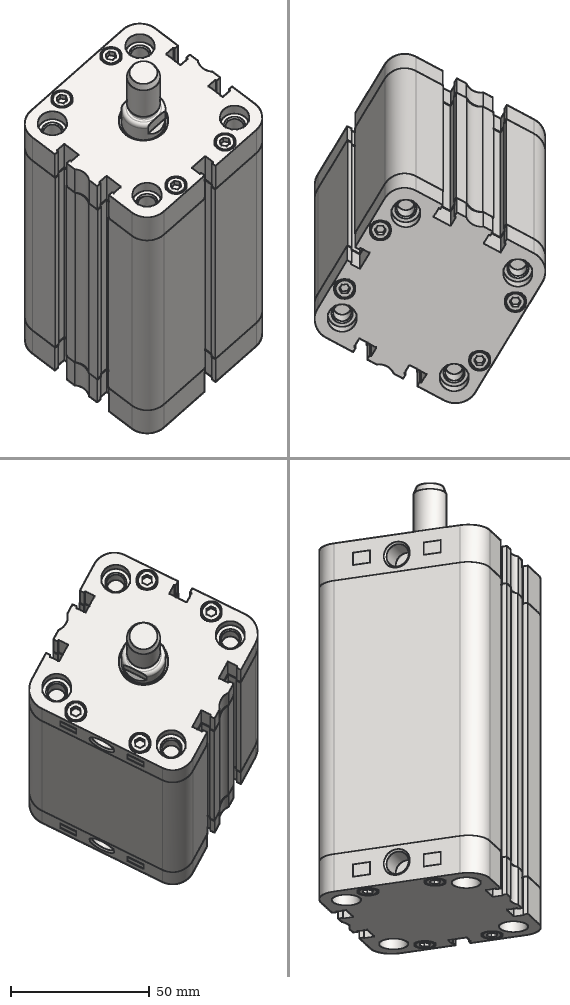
import cadquery as cq

SIDE = 65.5
HALF_SIDE = SIDE / 2
TOTAL_HEIGHT = 165.0
ROD_PROTRUSION = 29.9
BODY_HEIGHT = TOTAL_HEIGHT - ROD_PROTRUSION
CAP_HEIGHT = 14.5
BARREL_HEIGHT = BODY_HEIGHT - 2 * CAP_HEIGHT
CORNER_RADIUS = 8.2

CAP_RELIEF = 0.25

SLOT_OFFSET = 10.4
SLOT_DEPTH = 5.5
SLOT_LIP = 1.8
SLOT_NECK_WIDTH = 5.3
SLOT_INNER_WIDTH = 6.6

GROOVE_WIDTH = 6.6
GROOVE_DEPTH = 1.0

MOUNT_OFFSET = 23.3
MOUNT_BORE_DIAMETER = 10.5
MOUNT_BORE_DEPTH = 5.0
MOUNT_RIM_DIAMETER = 7.8
MOUNT_HOLE_DIAMETER = 6.6
MOUNT_HOLE_DEPTH = 12.0

SCREW_X = 28.0
SCREW_Y = 13.0
SCREW_RECESS_DIAMETER = 7.8
SCREW_HEAD_DIAMETER = 6.6
SCREW_GAP_DEPTH = 1.0
SOCKET_FLATS = 3.5
SOCKET_DEPTH = 2.5

PORT_INSET = 8.0
PORT_DIAMETER = 8.5
PORT_RIM_DIAMETER = 10.0
PORT_DEPTH = 9.9
PASSAGE_DIAMETER = 3.5
PASSAGE_DROP = 2.1
PASSAGE_DEPTH = 3.3

LABEL_OFFSET = 13.7
LABEL_INSET = 7.1
LABEL_WIDTH = 6.6
LABEL_HEIGHT = 4.8
LABEL_DEPTH = 0.2

ROD_DIAMETER = 16.0
SHOULDER_ROUND = 1.6
SHOULDER_HEIGHT = 8.1
FLATS_WIDTH = 13.0
FLATS_BOTTOM = 2.8
THREAD_DIAMETER = 12.0
NECK_DIAMETER = 10.0
NECK_HEIGHT = 2.6
NECK_FILLET = 0.3
TIP_CHAMFER_HEIGHT = 2.6

SEAL_RECESS_DIAMETER = 17.7
SEAL_RECESS_DEPTH = 1.0
SEAL_RIM_DIAMETER = 18.0


def cone(top_diameter, bottom_diameter):
    """45 degree cone that narrows downwards from the plane Z = 0, for a chamfered hole rim."""
    depth = (top_diameter - bottom_diameter) / 2
    return (
        cq.Workplane("XY")
        .circle(top_diameter / 2)
        .workplane(offset=-depth)
        .circle(bottom_diameter / 2)
        .loft()
    )


def outer_face():
    """Plane of the outer face of a cap before it is placed."""
    return cq.Workplane("XY", origin=(0, 0, CAP_HEIGHT))


def slot_cutter(height, relief):
    """T-slot open towards +Y, its mouth on the plane Y = 0, its walls set back by the relief."""
    half_neck = SLOT_NECK_WIDTH / 2 + relief
    half_inner = SLOT_INNER_WIDTH / 2 + relief
    floor = -SLOT_DEPTH - relief
    return (
        cq.Workplane("XY")
        .moveTo(-half_neck, 0)
        .lineTo(-half_neck, -SLOT_LIP)
        .lineTo(-half_inner, -SLOT_LIP)
        .lineTo(-half_inner, floor)
        .lineTo(half_inner, floor)
        .lineTo(half_inner, -SLOT_LIP)
        .lineTo(half_neck, -SLOT_LIP)
        .lineTo(half_neck, 0)
        .close()
        .extrude(height)
    )


def groove_cutter(height, relief):
    """Circular-segment groove with its mouth on the plane Y = 0, widened and deepened by the relief."""
    half_width = GROOVE_WIDTH / 2 + relief
    return (
        cq.Workplane("XY")
        .moveTo(-half_width, 0)
        .threePointArc((0, -GROOVE_DEPTH - relief), (half_width, 0))
        .close()
        .extrude(height)
    )


def turned_about_z(shape, angle):
    return shape.rotate((0, 0, 0), (0, 0, 1), angle)


def profile_block(height, relief=0.0):
    """Rounded square standing on Z = 0, with slots along +Y, -Y and +X and a groove along +Y and -Y."""
    block = cq.Workplane("XY").rect(SIDE, SIDE).extrude(height).edges("|Z").fillet(CORNER_RADIUS)
    slot = slot_cutter(height, relief).translate((0, HALF_SIDE, 0))
    groove = groove_cutter(height, relief).translate((0, HALF_SIDE, 0))
    for angle in (0, 180):
        block = block.cut(turned_about_z(groove, angle))
        for x in (-SLOT_OFFSET, SLOT_OFFSET):
            block = block.cut(turned_about_z(slot.translate((x, 0, 0)), angle))
    return block.cut(turned_about_z(slot, -90))


def drill_mounting_holes(cap):
    """Counterbored blind holes at the four corners, each chamfered where the bore steps down."""
    spacing = 2 * MOUNT_OFFSET
    centres = outer_face().rect(spacing, spacing, forConstruction=True).vertices()
    cap = cap.cut(centres.circle(MOUNT_BORE_DIAMETER / 2).extrude(-MOUNT_BORE_DEPTH))
    cap = cap.cut(centres.circle(MOUNT_HOLE_DIAMETER / 2).extrude(-MOUNT_HOLE_DEPTH))
    rim = cone(MOUNT_RIM_DIAMETER, MOUNT_HOLE_DIAMETER)
    for centre in centres.vals():
        cap = cap.cut(rim.translate(centre.Center() - cq.Vector(0, 0, MOUNT_BORE_DEPTH)))
    return cap


def cut_screw_heads(cap):
    """Ring gaps and hexagon sockets that shape the four tie screw heads."""
    centres = [(x, y) for x in (-SCREW_X, SCREW_X) for y in (-SCREW_Y, SCREW_Y)]
    face = outer_face().pushPoints(centres)
    gaps = face.circle(SCREW_RECESS_DIAMETER / 2).circle(SCREW_HEAD_DIAMETER / 2).extrude(-SCREW_GAP_DEPTH)
    socket = (
        cq.Workplane("XY")
        .polygon(6, SOCKET_FLATS, circumscribed=True)
        .extrude(SOCKET_DEPTH)
        .translate((0, 0, CAP_HEIGHT - SOCKET_DEPTH))
    )
    cap = cap.cut(gaps)
    for x, y in centres:
        cap = cap.cut(socket.translate((x, y, 0)))
    return cap


def cylinder_along_x(diameter, depth, x, z):
    return cq.Workplane("YZ", origin=(x, 0, z)).circle(diameter / 2).extrude(depth)


def cut_port(cap):
    """Air port with a chamfered rim in the -X face."""
    z = CAP_HEIGHT - PORT_INSET
    rim = cone(PORT_RIM_DIAMETER, PORT_DIAMETER)
    rim = rim.rotate((0, 0, 0), (0, 1, 0), -90).translate((-HALF_SIDE, 0, z))
    return cap.cut(cylinder_along_x(PORT_DIAMETER, PORT_DEPTH, -HALF_SIDE, z)).cut(rim)


def cut_labels(cap):
    """Shallow rectangular recesses either side of the port."""
    return cap.cut(
        cq.Workplane("YZ", origin=(-HALF_SIDE, 0, CAP_HEIGHT - LABEL_INSET))
        .pushPoints([(-LABEL_OFFSET, 0), (LABEL_OFFSET, 0)])
        .rect(LABEL_WIDTH, LABEL_HEIGHT)
        .extrude(LABEL_DEPTH)
    )


def plain_cap():
    """End cap with its inner face on Z = 0 and its outer face upwards."""
    cap = profile_block(CAP_HEIGHT, CAP_RELIEF)
    cap = drill_mounting_holes(cap)
    cap = cut_screw_heads(cap)
    cap = cut_port(cap)
    return cut_labels(cap)


def make_rear_cap():
    """End cap turned over, so that its outer face is the bottom of the cylinder."""
    return plain_cap().rotate((0, 0, 0), (1, 0, 0), 180).translate((0, 0, CAP_HEIGHT))


def make_barrel():
    return profile_block(BARREL_HEIGHT).translate((0, 0, CAP_HEIGHT))


def make_front_cap():
    """End cap with the rod bore, its seal recess and an air passage leading on from the port."""
    cap = plain_cap()
    bore = cq.Workplane("XY").circle(ROD_DIAMETER / 2).extrude(CAP_HEIGHT)
    recess = outer_face().circle(SEAL_RECESS_DIAMETER / 2).extrude(-SEAL_RECESS_DEPTH)
    rim = cone(SEAL_RIM_DIAMETER, SEAL_RECESS_DIAMETER).translate((0, 0, CAP_HEIGHT))
    passage = cylinder_along_x(
        PASSAGE_DIAMETER, PASSAGE_DEPTH, PORT_DEPTH - HALF_SIDE, CAP_HEIGHT - PORT_INSET - PASSAGE_DROP
    )
    return cap.cut(bore).cut(recess).cut(rim).cut(passage).translate((0, 0, BODY_HEIGHT - CAP_HEIGHT))


def make_rod():
    """Turned rod with wrench flats on its shoulder, reaching down to the inner face of the front cap."""
    rod_radius = ROD_DIAMETER / 2
    thread_radius = THREAD_DIAMETER / 2
    neck_radius = NECK_DIAMETER / 2
    neck_top = SHOULDER_HEIGHT + NECK_HEIGHT
    rod = (
        cq.Workplane("XZ")
        .moveTo(0, -CAP_HEIGHT)
        .lineTo(rod_radius, -CAP_HEIGHT)
        .lineTo(rod_radius, SHOULDER_HEIGHT - SHOULDER_ROUND)
        .radiusArc((rod_radius - SHOULDER_ROUND, SHOULDER_HEIGHT), -SHOULDER_ROUND)
        .lineTo(neck_radius + NECK_FILLET, SHOULDER_HEIGHT)
        .radiusArc((neck_radius, SHOULDER_HEIGHT + NECK_FILLET), NECK_FILLET)
        .lineTo(neck_radius, neck_top - NECK_FILLET)
        .radiusArc((neck_radius + NECK_FILLET, neck_top), NECK_FILLET)
        .lineTo(thread_radius, neck_top)
        .lineTo(thread_radius, ROD_PROTRUSION - TIP_CHAMFER_HEIGHT)
        .lineTo(neck_radius, ROD_PROTRUSION)
        .lineTo(0, ROD_PROTRUSION)
        .close()
        .revolve(360, (0, 0, 0), (0, 1, 0))
    )
    half_flats = FLATS_WIDTH / 2
    run_out = rod_radius - half_flats
    flat = (
        cq.Workplane("XZ")
        .moveTo(half_flats, SHOULDER_HEIGHT)
        .lineTo(half_flats, FLATS_BOTTOM)
        .lineTo(rod_radius, FLATS_BOTTOM - run_out)
        .lineTo(rod_radius, SHOULDER_HEIGHT)
        .close()
        .extrude(rod_radius, both=True)
    )
    for angle in (0, 180):
        rod = rod.cut(turned_about_z(flat, angle))
    return rod.translate((0, 0, BODY_HEIGHT))


rear_cap = make_rear_cap()
barrel = make_barrel()
front_cap = make_front_cap()
rod = make_rod()
result = cq.Compound.makeCompound([rear_cap.val(), barrel.val(), front_cap.val(), rod.val()])